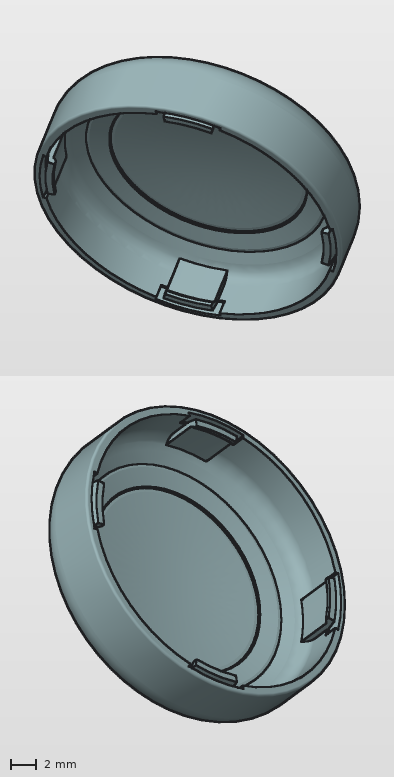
import cadquery as cq
import math


outer_radius = 12.5
total_height = 7.7
rim_round = 0.2
shoulder_start = 4.0
shoulder_radius = 2.42
flank_outer = 11.0
crown_edge_radius = 7.5
crown_edge_height = 7.18
flank_bulge = 0.1

bore_radius = 11.75
inner_shoulder_start = 2.75
inner_shoulder_radius = 1.5
inner_flank_outer = 10.72
ledge_outer = 9.78
ledge_inner = 9.5
ledge_height = 4.68
recess_radius = 8.02
recess_draft = 0.08
recess_edge_height = 5.05
recess_floor_height = 5.2
inner_crown_radius = 7.62
inner_crown_height = 5.75

tab_count = 4
tab_half_angle = 9.9
tab_inner_radius = 11.25
tab_depth = 4.0
lip_radius = 10.98
lip_height = 0.35
tab_tip_radius = 11.55
tab_root_radius = 11.82

pocket_half_angle = 12.6
pocket_radius = 12.02
pocket_floor_radius = 11.95
pocket_depth = 1.25


def shoulder_points(side_radius, start_height, fillet_radius, end_radius):
    """Middle and end of a round that leaves the straight side tangentially."""
    center = side_radius - fillet_radius
    sweep = math.acos((end_radius - center) / fillet_radius)
    return [
        (center + fillet_radius * math.cos(a), start_height + fillet_radius * math.sin(a))
        for a in (sweep / 2, sweep)
    ]


def dome_middle(edge_radius, edge_height, top_height):
    """Point halfway along a spherical dome, between its edge and its top."""
    sag = top_height - edge_height
    sphere_radius = (edge_radius**2 + sag**2) / (2 * sag)
    half_angle = math.asin(edge_radius / sphere_radius) / 2
    return (
        sphere_radius * math.sin(half_angle),
        top_height - sphere_radius * (1 - math.cos(half_angle)),
    )


def make_body():
    shoulder = shoulder_points(outer_radius, shoulder_start, shoulder_radius, flank_outer)
    return (
        cq.Workplane("XY")
        .lineTo(outer_radius - rim_round, 0)
        .radiusArc((outer_radius, rim_round), -rim_round)
        .lineTo(outer_radius, shoulder_start)
        .threePointArc(*shoulder)
        .sagittaArc((crown_edge_radius, crown_edge_height), -flank_bulge)
        .threePointArc(
            dome_middle(crown_edge_radius, crown_edge_height, total_height), (0, total_height)
        )
        .close()
        .revolve(360, (0, 0), (0, 1))
    )


def make_cavity():
    shoulder = shoulder_points(
        bore_radius, inner_shoulder_start, inner_shoulder_radius, inner_flank_outer
    )
    return (
        cq.Workplane("XY")
        .lineTo(bore_radius, 0)
        .lineTo(bore_radius, inner_shoulder_start)
        .threePointArc(*shoulder)
        .lineTo(ledge_outer, ledge_height)
        .lineTo(ledge_inner, ledge_height)
        .lineTo(recess_radius, recess_edge_height)
        .lineTo(recess_radius - recess_draft, recess_floor_height)
        .lineTo(inner_crown_radius, recess_floor_height)
        .threePointArc(
            dome_middle(inner_crown_radius, recess_floor_height, inner_crown_height),
            (0, inner_crown_height),
        )
        .close()
        .revolve(360, (0, 0), (0, 1))
    )


def ring_sector(points, half_angle):
    """Turn a (radius, height) outline through an arc centred on +X."""
    return (
        cq.Workplane("XY")
        .polyline(points)
        .close()
        .revolve(2 * half_angle, (0, 0), (0, 1))
        .rotate((0, 0, 0), (0, 1, 0), -half_angle)
    )


def make_pocket():
    points = [
        (lip_radius, 0),
        (pocket_radius, 0),
        (pocket_floor_radius, pocket_depth),
        (lip_radius, pocket_depth),
    ]
    return ring_sector(points, pocket_half_angle)


def make_tab():
    wall_radius = (bore_radius + outer_radius) / 2
    undercut = tab_inner_radius - lip_radius
    points = [
        (lip_radius, 0),
        (tab_tip_radius, 0),
        (tab_root_radius, pocket_depth),
        (wall_radius, pocket_depth),
        (wall_radius, tab_depth),
        (tab_inner_radius, tab_depth),
        (tab_inner_radius, lip_height + undercut),
        (lip_radius, lip_height),
    ]
    return ring_sector(points, tab_half_angle)


result = make_body().cut(make_cavity())
for index in range(tab_count):
    turn = index * 360 / tab_count
    result = result.cut(make_pocket().rotate((0, 0, 0), (0, 1, 0), turn))
    result = result.union(make_tab().rotate((0, 0, 0), (0, 1, 0), turn))